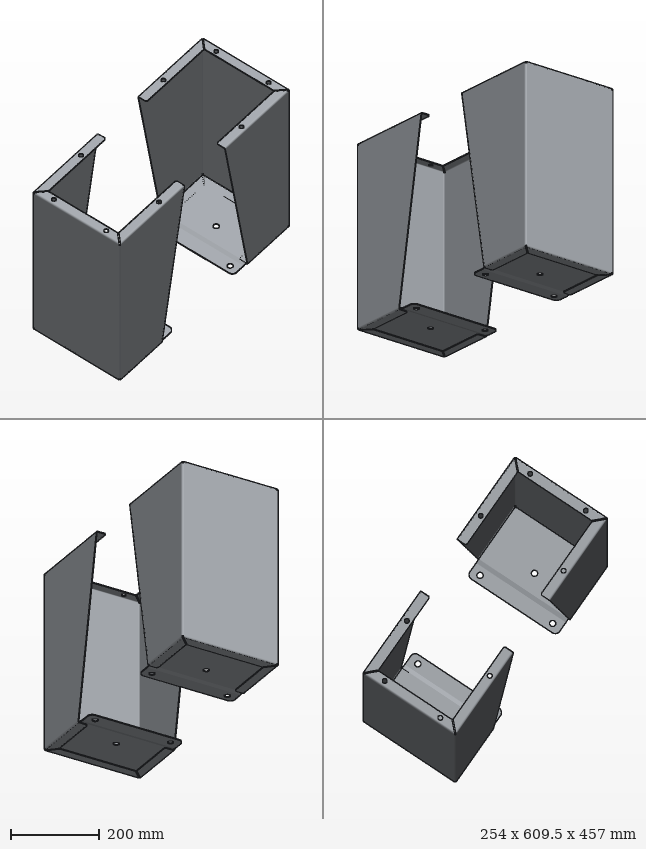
import cadquery as cq
import math

width = 254.0
length = 609.5
height = 457.0

sheet = 2.7
bend_radius = 4.6
flange_width = 25.5
mitre_gap = 3.0

top_depth = 232.0
bottom_depth = 152.0
joggle_end_depth = 162.0
lip_end_depth = 199.0

end_corner_chamfer = 3.0
flange_hole_diameter = 11.0
back_hole_inset = 14.0
back_hole_side_inset = 51.0
side_hole_inset = 14.0
side_hole_depth = 157.0

plate_hole_diameter = 14.0
plate_hole_depth = 108.0
lip_hole_depth = 180.5
lip_hole_side_inset = 28.0
back_corner_radius = bend_radius
lip_corner_radius = 12.0

half_width = width / 2
back_y = length / 2


def y_at(depth):
    """Y position of a point at the given depth inside the rear half."""
    return back_y - depth


def upright_cylinders(points, diameter, bottom, rise):
    """Round cutters standing on the level `bottom`."""
    return cq.Workplane("XY", origin=(0, 0, bottom)).pushPoints(points).circle(diameter / 2).extrude(rise)


def folded_tray():
    """Thin box with bent edges and corners, open towards the gap."""
    box_depth = top_depth + bend_radius
    block = cq.Workplane("XY").box(width, box_depth, height, centered=(True, False, False))
    block = block.translate((0, y_at(box_depth), 0))
    block = block.edges(">Y or |Y").fillet(bend_radius)
    return block.faces("<Y").shell(-sheet)


def opening_cutter(end_depth, bottom):
    """Cutter for the opening between the flanges, flared by chamfers at the flange ends."""
    inner_x = half_width - flange_width
    flared_x = inner_x + end_corner_chamfer
    right_side = [
        (inner_x, y_at(flange_width)),
        (inner_x, y_at(end_depth - end_corner_chamfer)),
        (flared_x, y_at(end_depth)),
        (flared_x, y_at(length / 2)),
    ]
    left_side = [(-x, y) for x, y in reversed(right_side)]
    outline = cq.Workplane("XY", origin=(0, 0, bottom)).polyline(right_side + left_side).close()
    return outline.extrude(bend_radius)


def mitre_cutters(bottom):
    """Diagonal slits that part the back flange from the side flanges."""
    slit_length = 2 * math.hypot(flange_width, flange_width)
    slits = []
    for side in (-1, 1):
        slit = cq.Workplane("XY").box(slit_length, mitre_gap, bend_radius, centered=(True, True, False))
        slit = slit.rotate((0, 0, 0), (0, 0, 1), side * 45)
        slits.append(slit.translate((side * half_width, back_y, bottom)))
    return slits


def slanted_front_cutter():
    """Removes everything in front of the slanted free edges of the side walls."""
    outline = [
        (y_at(bottom_depth), 0),
        (y_at(bottom_depth), sheet),
        (y_at(top_depth), height),
        (0, height),
        (0, 0),
    ]
    return cq.Workplane("YZ", origin=(-half_width, 0, 0)).polyline(outline).close().extrude(width)


def make_shell():
    """Back wall and two side walls with mitred flanges turned inward at the top and bottom."""
    shell = folded_tray().cut(slanted_front_cutter())
    for end_depth, bottom in ((bottom_depth, 0), (top_depth, height - bend_radius)):
        shell = shell.cut(opening_cutter(end_depth, bottom))
        for slit in mitre_cutters(bottom):
            shell = shell.cut(slit)
    holes = []
    for side in (-1, 1):
        holes.append((side * (half_width - back_hole_side_inset), y_at(back_hole_inset)))
        holes.append((side * (half_width - side_hole_inset), y_at(side_hole_depth)))
    return shell.cut(upright_cylinders(holes, flange_hole_diameter, height - bend_radius, bend_radius))


def make_base_plate():
    """Plate resting on the bottom flanges, stepping down to a lip level with them."""
    profile = [
        (y_at(bend_radius), sheet),
        (y_at(bottom_depth), sheet),
        (y_at(joggle_end_depth), 0),
        (y_at(lip_end_depth), 0),
        (y_at(lip_end_depth), sheet),
        (y_at(joggle_end_depth), sheet),
        (y_at(bottom_depth), 2 * sheet),
        (y_at(bend_radius), 2 * sheet),
    ]
    half_plate = half_width - bend_radius
    plate = cq.Workplane("YZ", origin=(-half_plate, 0, 0)).polyline(profile).close().extrude(2 * half_plate)
    plate = plate.edges("|Z and >Y").fillet(back_corner_radius)
    plate = plate.edges("|Z and <Y").fillet(lip_corner_radius)
    lip_hole_x = half_width - lip_hole_side_inset
    holes = [
        (0, y_at(plate_hole_depth)),
        (-lip_hole_x, y_at(lip_hole_depth)),
        (lip_hole_x, y_at(lip_hole_depth)),
    ]
    return plate.cut(upright_cylinders(holes, plate_hole_diameter, 0, 2 * sheet))


def both_halves(body):
    """The rear body and its copy turned half a revolution about Z."""
    return [body.rotate((0, 0, 0), (0, 0, 1), angle) for angle in (0, 180)]


shells = both_halves(make_shell())
base_plates = both_halves(make_base_plate())

result = cq.Compound.makeCompound([body.val() for body in shells + base_plates])